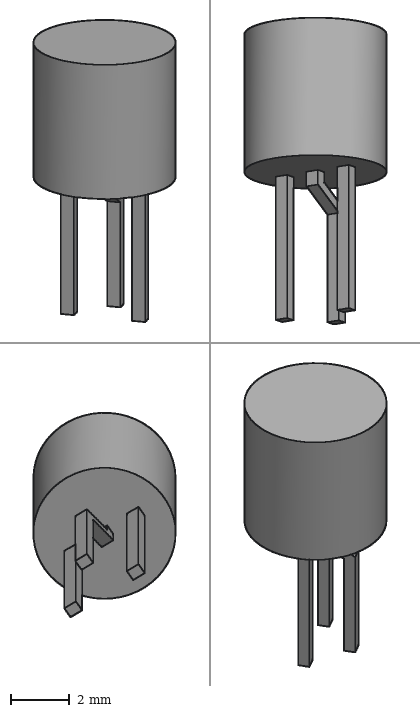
import cadquery as cq

body_diameter = 4.83
body_height = 4.8
total_height = 9.8
lead_length = total_height - body_height

lead_width = 0.47
lead_depth = 0.39
lead_pitch = 1.26

bend_offset = 1.26
bend_drop = 0.735
back_bend_below_body = 0.36
front_bend_below_body = 0.51


def straight_lead(x):
    """Straight lead centred at the given X."""
    return (
        cq.Workplane("XY", origin=(x, 0, lead_length))
        .rect(lead_width, lead_depth)
        .extrude(-lead_length)
    )


def joggled_lead():
    """Centre lead that leaves the body on its axis and steps over to +Y."""
    front = -lead_depth / 2
    back = lead_depth / 2
    back_bend_z = lead_length - back_bend_below_body
    front_bend_z = lead_length - front_bend_below_body
    profile = [
        (front, lead_length),
        (back, lead_length),
        (back, back_bend_z),
        (back + bend_offset, back_bend_z - bend_drop),
        (back + bend_offset, 0),
        (front + bend_offset, 0),
        (front + bend_offset, front_bend_z - bend_drop),
        (front, front_bend_z),
    ]
    return cq.Workplane("YZ").polyline(profile).close().extrude(lead_width / 2, both=True)


body = (
    cq.Workplane("XY", origin=(0, 0, lead_length))
    .circle(body_diameter / 2)
    .extrude(body_height)
)
result = body.union(joggled_lead())
for side in (-1, 1):
    result = result.union(straight_lead(side * lead_pitch))